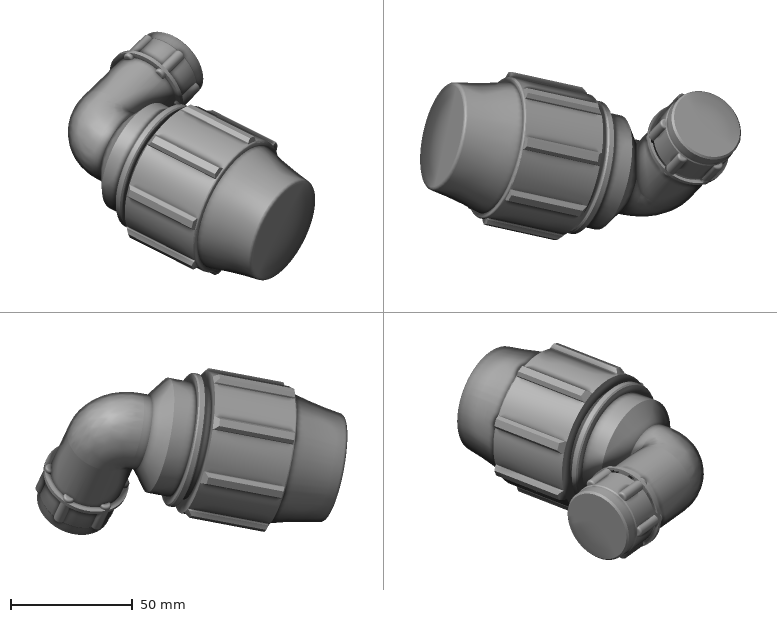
import cadquery as cq
import math


overall_length = 113.0

pipe_radius = 31.3 / 2
bend_radius = 9.7

leg_end_y = 53.9
leg_end_chamfer = 0.8
sleeve_radius = 32.0 / 2
sleeve_end_y = 48.5
sleeve_chamfer_length = 0.6
collar_radius = 36.1 / 2
collar_start_y = 34.2
collar_end_y = 36.0
pin_count = 6
pin_radius = 2.4
pin_circle_radius = collar_radius - pin_radius
pin_start_y = 32.7
pin_end_y = sleeve_end_y - sleeve_chamfer_length
pin_fillet = 0.9

cone_start_x = 13.3
cone_end_x = 20.1
hub_radius = 48.0 / 2
flange_start_x = 29.5
flange_end_x = 32.7
flange_radius = 55.7 / 2
flange_chamfer = 0.6

nut_start_x = 35.8
nut_end_x = 71.2
nut_rim_fillet = 0.8
nut_radius = 29.7
nut_face_x = overall_length - collar_radius
taper_start_radius = 27.6
taper_end_radius = 22.6
taper_sag = 0.5
taper_end_fillet = 1.4

rib_count = 8
rib_top_height = 32.0
rib_top_width = 3.2
rib_base_width = 5.4
rib_shoulder_height = 30.3
rib_root_depth = 0.7
rib_root_height = nut_radius - rib_root_depth
rib_start_slope = 2.0
rib_end_slope = 0.5
rib_end_x = nut_end_x - nut_rim_fillet


def make_elbow():
    """Quarter bend: the part of the pipe section outside the bend axis, turned by 90 degrees."""
    half_chord = math.sqrt(pipe_radius**2 - bend_radius**2)
    return (
        cq.Workplane("XZ", origin=(0, bend_radius, 0))
        .moveTo(bend_radius, -half_chord)
        .threePointArc((-pipe_radius, 0), (bend_radius, half_chord))
        .close()
        .revolve(90, (bend_radius, -1.1, 0), (bend_radius, 1.1, 0))
    )


def make_leg():
    """Straight pipe along +Y with its sleeve and collar, turned about the Y axis."""
    return (
        cq.Workplane("XY")
        .moveTo(0, bend_radius)
        .lineTo(pipe_radius, bend_radius)
        .lineTo(pipe_radius, collar_start_y)
        .lineTo(collar_radius, collar_start_y)
        .lineTo(collar_radius, collar_end_y)
        .lineTo(sleeve_radius, collar_end_y)
        .lineTo(sleeve_radius, sleeve_end_y - sleeve_chamfer_length)
        .lineTo(pipe_radius, sleeve_end_y)
        .lineTo(pipe_radius, leg_end_y - leg_end_chamfer)
        .lineTo(pipe_radius - leg_end_chamfer, leg_end_y)
        .lineTo(0, leg_end_y)
        .close()
        .revolve(360, (0, 0, 0), (0, 1, 0))
    )


def make_pins():
    """Round grip pins that run through the collar, parallel to the Y axis."""
    pin = (
        cq.Workplane("XZ", origin=(0, pin_start_y, 0))
        .center(pin_circle_radius, 0)
        .circle(pin_radius)
        .extrude(-(pin_end_y - pin_start_y))
    )
    pin = pin.faces("<Y or >Y").edges().fillet(pin_fillet)
    pins = cq.Workplane("XY")
    for index in range(pin_count):
        pins = pins.add(pin.rotate((0, 0, 0), (0, 1, 0), index * 360 / pin_count))
    return pins


def make_body():
    """Pipe stub, cone, hub, flange and clamp nut, turned about the X axis."""
    taper_mid_x = (nut_end_x + nut_face_x) / 2
    taper_mid_radius = (taper_start_radius + taper_end_radius) / 2 - taper_sag
    body = (
        cq.Workplane("XY")
        .moveTo(bend_radius, 0)
        .lineTo(bend_radius, pipe_radius)
        .lineTo(cone_start_x, pipe_radius)
        .lineTo(cone_end_x, hub_radius)
        .lineTo(flange_start_x, hub_radius)
        .lineTo(flange_start_x, flange_radius - flange_chamfer)
        .lineTo(flange_start_x + flange_chamfer, flange_radius)
        .lineTo(flange_end_x - flange_chamfer, flange_radius)
        .lineTo(flange_end_x, flange_radius - flange_chamfer)
        .lineTo(flange_end_x, hub_radius)
        .lineTo(nut_start_x, hub_radius)
        .lineTo(nut_start_x, nut_radius)
        .lineTo(nut_end_x - nut_rim_fillet, nut_radius)
        .tangentArcPoint((nut_end_x, nut_radius - nut_rim_fillet), relative=False)
        .lineTo(nut_end_x, taper_start_radius)
        .threePointArc((taper_mid_x, taper_mid_radius), (nut_face_x, taper_end_radius))
        .lineTo(nut_face_x, 0)
        .close()
        .revolve(360, (0, 0, 0), (1, 0, 0))
    )
    return body.faces(">X").edges().fillet(taper_end_fillet)


def make_ribs():
    """Flat-topped grip ribs with sloped flanks and sloped ends, spaced around the nut."""
    section = (
        cq.Workplane("YZ", origin=(nut_start_x, 0, 0))
        .moveTo(-rib_base_width / 2, rib_root_height)
        .lineTo(-rib_base_width / 2, rib_shoulder_height)
        .lineTo(-rib_top_width / 2, rib_top_height)
        .lineTo(rib_top_width / 2, rib_top_height)
        .lineTo(rib_base_width / 2, rib_shoulder_height)
        .lineTo(rib_base_width / 2, rib_root_height)
        .close()
        .extrude(rib_end_x - nut_start_x)
    )
    side_outline = (
        cq.Workplane("XZ")
        .moveTo(nut_start_x, rib_root_height)
        .lineTo(nut_start_x, nut_radius)
        .lineTo(nut_start_x + rib_start_slope, rib_top_height)
        .lineTo(rib_end_x - rib_end_slope, rib_top_height)
        .lineTo(rib_end_x, nut_radius)
        .lineTo(rib_end_x, rib_root_height)
        .close()
        .extrude(rib_base_width, both=True)
    )
    rib = section.intersect(side_outline)
    pitch = 360 / rib_count
    ribs = cq.Workplane("XY")
    for index in range(rib_count):
        ribs = ribs.add(rib.rotate((0, 0, 0), (1, 0, 0), (index + 0.5) * pitch))
    return ribs


result = make_elbow().union(make_leg()).union(make_body())
for details in (make_pins(), make_ribs()):
    for detail in details.vals():
        result = result.union(cq.Workplane(detail))